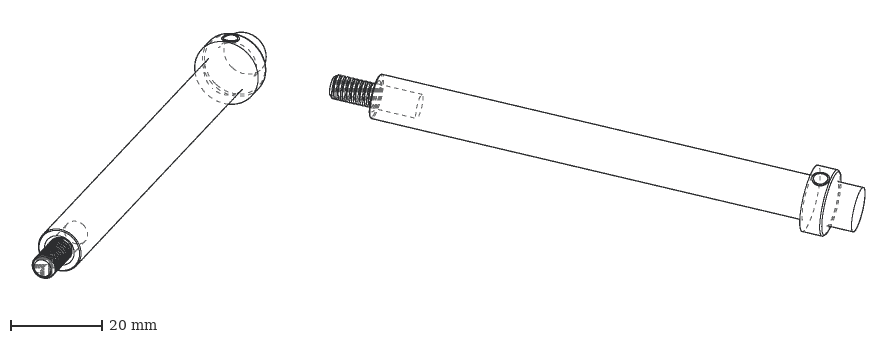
import cadquery as cq

total_length = 121.0

rod_diameter = 10.0
collar_diameter = 15.0
collar_width = 5.0
collar_setback = 6.2
front_fillet = 0.8
rear_fillet = 0.4
rim_chamfer = 0.4
end_chamfer = 0.2

stud_reach = 10.0
stud_diameter = 5.5
stud_pitch = 1.0
stud_tip_diameter = 4.0
socket_depth = 10.0
socket_mouth_diameter = 7.0

ring_diameter = 3.9
ring_width = 0.4
ring_depth = 0.1

depth_ratio = 0.6
groove_mouth_ratio = 0.5
groove_floor_ratio = 0.15

groove_overshoot = 0.06

collar_rear = total_length - collar_setback
collar_front = collar_rear - collar_width
collar_middle = (collar_front + collar_rear) / 2
countersink_depth = (socket_mouth_diameter - stud_diameter) / 2
stud_root_radius = stud_diameter / 2 - depth_ratio * stud_pitch


def cylinder_along_y(diameter, start, end):
    plane = cq.Workplane("XZ", origin=(0, start, 0))
    return plane.circle(diameter / 2).extrude(start - end)


def countersink_cone(mouth_radius, bore_radius):
    """45 degree cone that widens a bore going down from z = 0."""
    depth = mouth_radius - bore_radius
    profile = (
        cq.Workplane("XZ")
        .lineTo(mouth_radius, 0)
        .lineTo(bore_radius, -depth)
        .lineTo(0, -depth)
        .close()
    )
    return profile.revolve(360, (0, 0, 0), (0, 1, 0))


def helical_groove(mouth_radius, floor_radius, pitch, length):
    """Right-hand thread groove around +Z from z = 0, tapering from its mouth to its floor."""
    half_mouth = groove_mouth_ratio * pitch / 2
    half_floor = groove_floor_ratio * pitch / 2
    cutter_radius = mouth_radius + groove_overshoot
    path = cq.Workplane(cq.Wire.makeHelix(pitch, length, mouth_radius))
    return (
        cq.Workplane("XZ")
        .moveTo(cutter_radius, -half_mouth)
        .lineTo(cutter_radius, half_mouth)
        .lineTo(floor_radius, half_floor)
        .lineTo(floor_radius, -half_floor)
        .close()
        .sweep(path, isFrenet=True)
    )


def make_rod_blank():
    """Rod and collar with their outer chamfers and the fillets between them."""
    rod = cylinder_along_y(rod_diameter, stud_reach, total_length)
    rod = rod.faces("<Y").chamfer(end_chamfer)
    collar = cylinder_along_y(collar_diameter, collar_front, collar_rear)
    collar = collar.faces(">Y").chamfer(rim_chamfer)
    blank = rod.union(collar)
    for y, radius in ((collar_front, front_fillet), (collar_rear, rear_fillet)):
        reach = (rod_diameter + collar_diameter) / 4
        slab = min(front_fillet, rear_fillet) / 2
        corner = cq.selectors.BoxSelector(
            (-reach, y - slab, -reach), (reach, y + slab, reach), boundingbox=True
        )
        blank = blank.edges(corner).fillet(radius)
    return blank


def stud_socket():
    """Bore for the stud, with a countersunk mouth in the end of the rod."""
    bore = cylinder_along_y(stud_diameter, stud_reach, stud_reach + socket_depth)
    mouth = countersink_cone(socket_mouth_diameter / 2, stud_diameter / 2)
    mouth = mouth.rotate((0, 0, 0), (1, 0, 0), 90).translate((0, stud_reach, 0))
    return bore.union(mouth)


def collar_ring():
    """Ring cutter from above that stops at a cylinder just inside the collar surface."""
    floor = cylinder_along_y(collar_diameter - 2 * ring_depth, collar_front, collar_rear)
    outer_radius = ring_diameter / 2
    tube = (
        cq.Workplane("XY", origin=(0, collar_middle, 0))
        .circle(outer_radius)
        .circle(outer_radius - ring_width)
        .extrude(collar_diameter / 2)
    )
    return tube.cut(floor)


def make_rod():
    return make_rod_blank().cut(stud_socket()).cut(collar_ring())


def make_stud():
    """Stud with a chamfered tip, threaded up to the floor of the countersink."""
    stud = cylinder_along_y(stud_diameter, 0, stud_reach + socket_depth)
    stud = stud.faces("<Y").chamfer((stud_diameter - stud_tip_diameter) / 2)
    thread_length = stud_reach + countersink_depth
    groove = helical_groove(stud_diameter / 2, stud_root_radius, stud_pitch, thread_length)
    return stud.cut(groove.rotate((0, 0, 0), (1, 0, 0), -90))


rod = make_rod()
stud = make_stud()
result = cq.Compound.makeCompound([rod.solids().val(), stud.solids().val()])